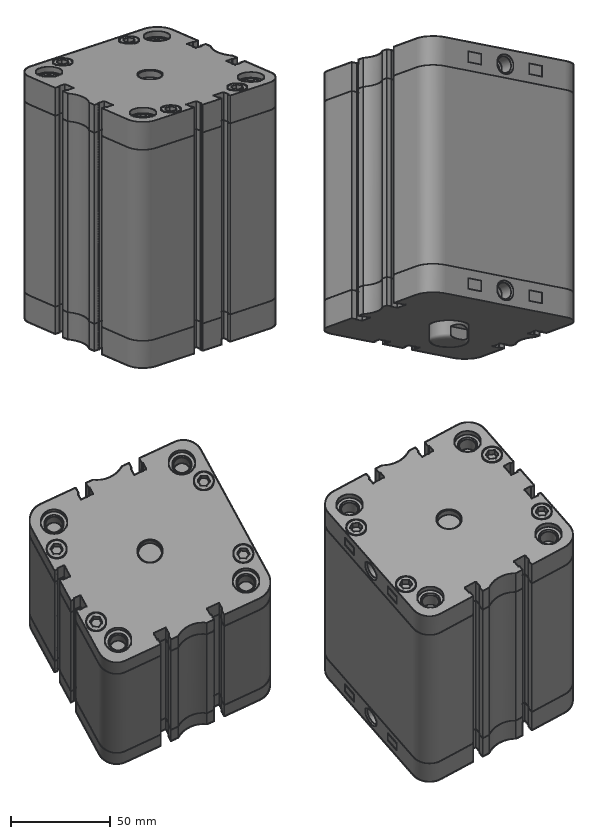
import cadquery as cq
import math

WIDTH = 95.5
TOTAL_HEIGHT = 143.0
CORNER_RADIUS = 10.0
ROD_STICKOUT = 9.0
LOWER_CAP_HEIGHT = 14.9
UPPER_CAP_HEIGHT = 15.2

HALF = WIDTH / 2
Z_LOWER_CAP = ROD_STICKOUT
Z_BARREL = Z_LOWER_CAP + LOWER_CAP_HEIGHT
Z_UPPER_CAP = TOTAL_HEIGHT - UPPER_CAP_HEIGHT

MOUTH_WIDTH = 5.7
FLOOR_WIDTH = 6.9
SLOT_DEPTH = 7.0
SIDE_SLOT_DEPTH = 5.7
LIP_DEPTH = 3.1
SIDE_LIP_DEPTH = 1.9
SLOT_OFFSET = 15.0
SIDE_SLOT_OFFSET = 9.2

CHANNEL_HALF_WIDTH = 8.2
CHANNEL_DEPTH = 2.6

MOUNT_OFFSET = 36.0
MOUNT_BORE_DIAMETER = 13.5
MOUNT_BORE_DEPTH = 3.0
MOUNT_DIAMETER = 8.5
MOUNT_MOUTH_DIAMETER = 9.9
MOUNT_DEPTH = 11.5

SCREW_X = 41.5
SCREW_Y = 22.2
SCREW_HEAD_DIAMETER = 9.9
SCREW_BORE_DIAMETER = 10.3
SCREW_GROOVE_DEPTH = 0.6
HEX_ACROSS_FLATS = 5.5
HEX_DEPTH = 3.6

CENTRE_DIAMETER = 12.0
CENTRE_DEPTH = 4.0
CENTRE_CHAMFER = 0.5

PORT_DIAMETER = 8.6
PORT_MOUTH_DIAMETER = 10.3
PORT_DEPTH = 8.6
NOZZLE_DIAMETER = 5.0
NOZZLE_DEPTH = 4.3
UPPER_PORT_Z = TOTAL_HEIGHT - 8.0
LOWER_PORT_Z = Z_LOWER_CAP + 7.7

PANEL_WIDTH = 8.0
PANEL_HEIGHT = 5.6
PANEL_DEPTH = 0.1
PANEL_OFFSET = 19.0
UPPER_PANEL_Z = TOTAL_HEIGHT - 7.9
LOWER_PANEL_Z = Z_LOWER_CAP + 7.6

ROD_DIAMETER = 20.0
ROD_ACROSS_FLATS = 17.0
ROD_FLAT_HEIGHT = 5.9
ROD_END_RADIUS = 2.0


def vertical_slot(depth, lip_depth, offset, angle):
    """Full-height undercut slot, cut into the -Y face and turned about Z by angle."""
    mouth = cq.Workplane("XY").box(MOUTH_WIDTH, depth, TOTAL_HEIGHT, centered=(True, False, False))
    floor = (
        cq.Workplane("XY")
        .box(FLOOR_WIDTH, depth - lip_depth, TOTAL_HEIGHT, centered=(True, False, False))
        .translate((0, lip_depth, 0))
    )
    slot = mouth.union(floor).translate((offset, -HALF, 0))
    return slot.rotate((0, 0, 0), (0, 0, 1), angle)


def channel(angle):
    """Full-height arched channel in the -Y face, turned about Z by angle."""
    radius = (CHANNEL_HALF_WIDTH**2 + CHANNEL_DEPTH**2) / (2 * CHANNEL_DEPTH)
    axis_y = -HALF + CHANNEL_DEPTH - radius
    cutter = cq.Workplane("XY").center(0, axis_y).circle(radius).extrude(TOTAL_HEIGHT)
    return cutter.rotate((0, 0, 0), (0, 0, 1), angle)


def profile_block(z_bottom, z_top):
    """Length of the slotted square section between two heights."""
    height = z_top - z_bottom
    block = cq.Workplane("XY").box(WIDTH, WIDTH, height, centered=(True, True, False))
    block = block.edges("|Z").fillet(CORNER_RADIUS)
    for angle in (0, 180):
        block = block.cut(channel(angle))
        for side in (-1, 1):
            block = block.cut(vertical_slot(SLOT_DEPTH, LIP_DEPTH, side * SLOT_OFFSET, angle))
    for side in (-1, 1):
        block = block.cut(vertical_slot(SIDE_SLOT_DEPTH, SIDE_LIP_DEPTH, side * SIDE_SLOT_OFFSET, 90))
    return block.translate((0, 0, z_bottom))


def countersunk_drill(mouth_diameter, diameter, depth):
    """Cutter that starts at the origin and runs down -Z, with a 45 degree mouth."""
    drill = cq.Workplane("XY").circle(diameter / 2).extrude(-depth)
    sink = (mouth_diameter - diameter) / 2
    cone = cq.Solid.makeCone(mouth_diameter / 2, diameter / 2, sink, dir=cq.Vector(0, 0, -1))
    return drill.union(cq.Workplane(cone))


def port_cutter(z):
    """Port drilled along +X from the -X face."""
    drill = countersunk_drill(PORT_MOUTH_DIAMETER, PORT_DIAMETER, PORT_DEPTH)
    return drill.rotate((0, 0, 0), (0, 1, 0), -90).translate((-HALF, 0, z))


def nozzle_cutter():
    """Narrow passage that carries the upper port further in along +X."""
    nozzle = cq.Workplane("YZ").circle(NOZZLE_DIAMETER / 2).extrude(NOZZLE_DEPTH)
    return nozzle.translate((-HALF + PORT_DEPTH, 0, UPPER_PORT_Z))


def panel_cutter(z):
    """Pair of shallow rectangular recesses in the -X face."""
    return (
        cq.Workplane("YZ", origin=(-HALF, 0, z))
        .pushPoints([(-PANEL_OFFSET, 0), (PANEL_OFFSET, 0)])
        .rect(PANEL_WIDTH, PANEL_HEIGHT)
        .extrude(PANEL_DEPTH)
    )


def mounting_hole():
    """Counterbored blind hole running down from the origin."""
    bore = cq.Workplane("XY").circle(MOUNT_BORE_DIAMETER / 2).extrude(-MOUNT_BORE_DEPTH)
    drill = countersunk_drill(MOUNT_MOUTH_DIAMETER, MOUNT_DIAMETER, MOUNT_DEPTH - MOUNT_BORE_DEPTH)
    return bore.union(drill.translate((0, 0, -MOUNT_BORE_DEPTH)))


def screw_head_cutter():
    """Ring groove and hex socket, the socket having two flats facing -X and +X."""
    groove = (
        cq.Workplane("XY")
        .circle(SCREW_BORE_DIAMETER / 2)
        .circle(SCREW_HEAD_DIAMETER / 2)
        .extrude(-SCREW_GROOVE_DEPTH)
    )
    across_corners = HEX_ACROSS_FLATS / math.cos(math.pi / 6)
    socket = cq.Workplane("XY").polygon(6, across_corners).extrude(-HEX_DEPTH)
    return groove.union(socket.rotate((0, 0, 0), (0, 0, 1), 30))


def make_upper_cap():
    cap = profile_block(Z_UPPER_CAP, TOTAL_HEIGHT)
    for x_side in (-1, 1):
        for y_side in (-1, 1):
            mount_place = (x_side * MOUNT_OFFSET, y_side * MOUNT_OFFSET, TOTAL_HEIGHT)
            screw_place = (x_side * SCREW_X, y_side * SCREW_Y, TOTAL_HEIGHT)
            cap = cap.cut(mounting_hole().translate(mount_place))
            cap = cap.cut(screw_head_cutter().translate(screw_place))
    centre_mouth = CENTRE_DIAMETER + 2 * CENTRE_CHAMFER
    centre_hole = countersunk_drill(centre_mouth, CENTRE_DIAMETER, CENTRE_DEPTH)
    cap = cap.cut(centre_hole.translate((0, 0, TOTAL_HEIGHT)))
    cap = cap.cut(port_cutter(UPPER_PORT_Z)).cut(nozzle_cutter())
    return cap.cut(panel_cutter(UPPER_PANEL_Z))


def make_barrel():
    return profile_block(Z_BARREL, Z_UPPER_CAP)


def make_lower_cap():
    cap = profile_block(Z_LOWER_CAP, Z_BARREL)
    cap = cap.cut(port_cutter(LOWER_PORT_Z))
    cap = cap.cut(panel_cutter(LOWER_PANEL_Z))
    rod_hole = cq.Workplane("XY").circle(ROD_DIAMETER / 2).extrude(Z_BARREL)
    return cap.cut(rod_hole)


def make_rod():
    """Rod through the lower cap, with a rounded end and two wrench flats facing -X and +X."""
    rod = cq.Workplane("XY").circle(ROD_DIAMETER / 2).extrude(Z_BARREL)
    rod = rod.faces("<Z").edges().fillet(ROD_END_RADIUS)
    inner = ROD_ACROSS_FLATS / 2
    outer = ROD_DIAMETER / 2
    flat_cutter = (
        cq.Workplane("XZ")
        .polyline([
            (inner, 0),
            (outer, 0),
            (outer, ROD_FLAT_HEIGHT + outer - inner),
            (inner, ROD_FLAT_HEIGHT),
        ])
        .close()
        .extrude(outer, both=True)
    )
    return rod.cut(flat_cutter).cut(flat_cutter.mirror("YZ"))


upper_cap = make_upper_cap()
barrel = make_barrel()
lower_cap = make_lower_cap()
rod = make_rod()

result = cq.Compound.makeCompound([upper_cap.val(), barrel.val(), lower_cap.val(), rod.val()])